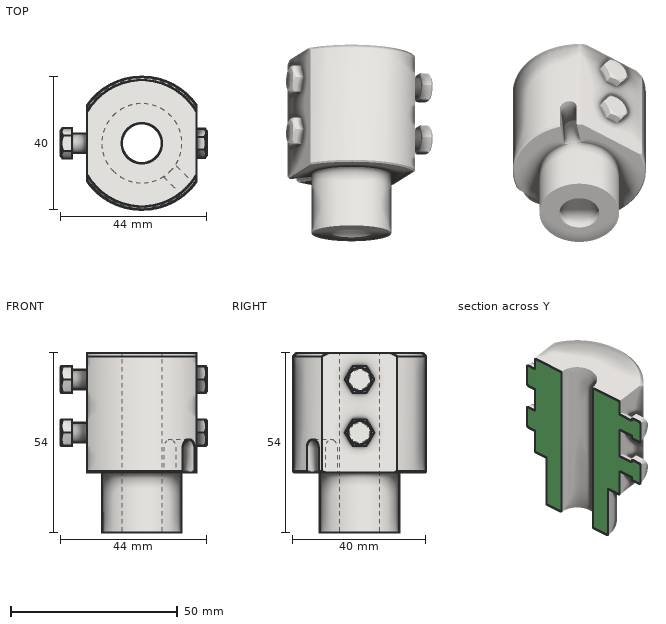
import cadquery as cq
import math

body_diameter = 40.0
body_height = 36.0
flat_spacing = 33.0
top_chamfer = 1.0
bottom_chamfer = 0.5
stub_diameter = 24.0
stub_length = 18.0
bore_diameter = 12.0

bolt_diameter = 6.0
head_across_flats = 8.0
left_head_corner_reach = head_across_flats / math.sqrt(3)
left_head_flat_width = left_head_corner_reach
right_head_corner_reach = 4.4
right_head_flat_width = 3.9
head_crown_diameter = 7.0
crown_height = 0.75
left_head_height = 3.5
left_head_gap = 4.5
right_head_height = 3.0
right_head_gap = 0.0
first_bolt_drop = 8.0
bolt_pitch = 16.0

slot_width = 5.0
slot_height = 10.0
slot_angle = -45

total_height = stub_length + body_height
bore_radius = bore_diameter / 2


def make_body():
    collar = (
        cq.Workplane("XY").workplane(offset=stub_length)
        .circle(body_diameter / 2).extrude(body_height)
        .faces(">Z").chamfer(top_chamfer)
        .faces("<Z").chamfer(bottom_chamfer)
    )
    flats = cq.Workplane("XY").box(flat_spacing, body_diameter, total_height, centered=(True, True, False))
    stub = cq.Workplane("XY").circle(stub_diameter / 2).extrude(stub_length)
    return collar.intersect(flats).union(stub)


def make_slot():
    """Slot along +X, turned about the body axis to its place."""
    spring_height = slot_height - slot_width / 2
    length = (body_diameter - stub_diameter) / 2
    slot = (
        cq.Workplane("YZ", origin=(stub_diameter / 2, 0, stub_length))
        .moveTo(-slot_width / 2, 0)
        .lineTo(slot_width / 2, 0)
        .lineTo(slot_width / 2, spring_height)
        .threePointArc((0, slot_height), (-slot_width / 2, spring_height))
        .close().extrude(length)
    )
    return slot.rotate((0, 0, 0), (0, 0, 1), slot_angle)


def make_bolt(head_gap, head_height, corner_reach, flat_width):
    """Bolt along +X at Z = 0, reaching from the bore wall to its head."""
    head_start = flat_spacing / 2 + head_gap
    head_end = head_start + head_height
    half_flat = flat_width / 2
    half_head = head_across_flats / 2
    head_corners = [
        (corner_reach, 0),
        (half_flat, half_head),
        (-half_flat, half_head),
        (-corner_reach, 0),
        (-half_flat, -half_head),
        (half_flat, -half_head),
    ]
    shank = (
        cq.Workplane("YZ", origin=(bore_radius, 0, 0))
        .circle(bolt_diameter / 2).extrude(head_start - bore_radius)
    )
    head = (
        cq.Workplane("YZ", origin=(head_start, 0, 0))
        .polyline(head_corners).close().extrude(head_height)
    )
    bevel = (
        cq.Workplane("XY")
        .moveTo(head_start, 0)
        .lineTo(head_end, 0)
        .lineTo(head_end, head_crown_diameter / 2)
        .lineTo(head_end - crown_height, left_head_corner_reach)
        .lineTo(head_start, left_head_corner_reach)
        .close().revolve(360, (0, 0, 0), (1, 0, 0))
    )
    return shank.union(head.intersect(bevel))


result = make_body().cut(make_slot())

right_bolt = make_bolt(right_head_gap, right_head_height, right_head_corner_reach, right_head_flat_width)
left_bolt = make_bolt(left_head_gap, left_head_height, left_head_corner_reach, left_head_flat_width)
left_bolt = left_bolt.mirror("YZ")
for bolt_index in range(2):
    bolt_z = total_height - first_bolt_drop - bolt_index * bolt_pitch
    for bolt in (right_bolt, left_bolt):
        result = result.union(bolt.translate((0, 0, bolt_z)))

bore = cq.Workplane("XY").circle(bore_radius).extrude(total_height)
result = result.cut(bore)